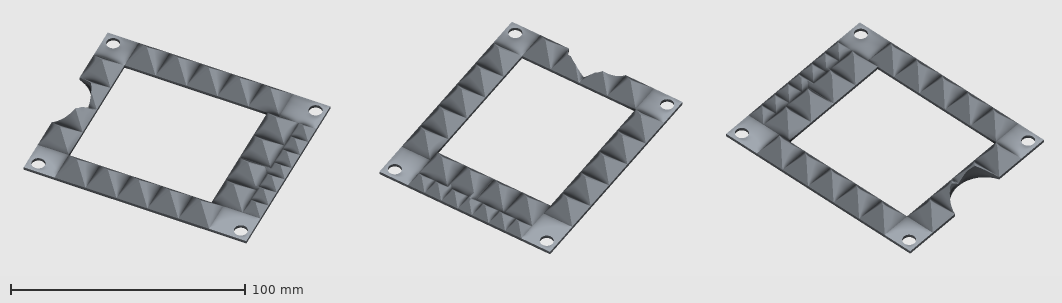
import cadquery as cq
import math

frame_width = 86.67
window_length = 67.0
plate_thickness = 1.5
large_base = 14.5
small_base = 8.41
corner_hole_diameter = 6.0
corner_hole_inset = 4.75
finger_notch_radius = 15.0

large_row_count = 5
large_column_count = 4
small_column_count = 7

frame_length = window_length + 2 * large_base + small_base
column_length = frame_width - 2 * large_base
total_height = plate_thickness + large_base / 2
left_edge = -frame_length / 2
right_edge = frame_length / 2
small_column_left = right_edge - small_base
right_column_left = small_column_left - large_base
window_left = left_edge + large_base
row_centre_y = (frame_width - large_base) / 2


def column_cells(base, count):
    """Top and bottom Y of every pyramid of a column, from the +Y end to the -Y end.

    Bases are laid out from both ends of the column, half the count from each. They are
    slightly too long for it, so where they meet in the middle the overlap is left out: an
    odd column has a shortened middle pyramid, and an even one has a narrow flat strip
    between two shortened pyramids.
    """
    overlap = count * base - column_length
    half_count = count // 2
    upper_cells = []
    for i in range(half_count):
        top = column_length / 2 - i * base
        upper_cells.append((top, top - base))
    if count % 2 == 1:
        middle_half = (base - overlap) / 2
        middle_cells = [(middle_half, -middle_half)]
    else:
        upper_cells[-1] = (upper_cells[-1][0], overlap / 2)
        middle_cells = []
    lower_cells = [(-bottom, -top) for top, bottom in reversed(upper_cells)]
    return upper_cells + middle_cells + lower_cells


large_cells = column_cells(large_base, large_column_count)
small_cells = column_cells(small_base, small_column_count)

notch_half_chord = large_cells[1][0]
notch_centre_x = left_edge - math.sqrt(finger_notch_radius**2 - notch_half_chord**2)


def make_triangular_prism(base, length):
    """Ridge along Y with 45 degree sides, centred in X and Y and standing on the plate top."""
    return (
        cq.Workplane("XZ", origin=(0, length / 2, plate_thickness))
        .polyline([(-base / 2, 0), (base / 2, 0), (0, base / 2)])
        .close()
        .extrude(length)
    )


def make_pyramid(left, size_x, top, bottom):
    """Pyramid with 45 degree faces on the plate top, hipped if its two sides differ."""
    size_y = top - bottom
    ridge_along_y = make_triangular_prism(size_x, size_y)
    ridge_along_x = make_triangular_prism(size_y, size_x).rotate((0, 0, 0), (0, 0, 1), 90)
    pyramid = ridge_along_y.intersect(ridge_along_x)
    return pyramid.translate((left + size_x / 2, (top + bottom) / 2, 0))


def pyramid_row(centre_y):
    """Row of large pyramids along X, starting beside the left corner."""
    top = centre_y + large_base / 2
    bottom = centre_y - large_base / 2
    lefts = [window_left + i * large_base for i in range(large_row_count)]
    return [make_pyramid(left, large_base, top, bottom) for left in lefts]


def pyramid_column(left, base, cells):
    """Column of pyramids along Y between the two rows."""
    return [make_pyramid(left, base, top, bottom) for top, bottom in cells]


def make_plate():
    """Flat rectangular plate with the window and the four corner holes."""
    plate = cq.Workplane().rect(frame_length, frame_width).extrude(plate_thickness)
    window_centre_x = window_left + window_length / 2
    window = (
        cq.Workplane()
        .center(window_centre_x, 0)
        .rect(window_length, column_length)
        .extrude(plate_thickness)
    )
    hole_spacing_x = frame_length - 2 * corner_hole_inset
    hole_spacing_y = frame_width - 2 * corner_hole_inset
    corner_holes = (
        cq.Workplane()
        .rect(hole_spacing_x, hole_spacing_y, forConstruction=True)
        .vertices()
        .circle(corner_hole_diameter / 2)
        .extrude(plate_thickness)
    )
    return plate.cut(window).cut(corner_holes)


def make_frame():
    """Plate and pyramids in one piece, with the round notch cut through the left column."""
    pyramids = (
        pyramid_row(row_centre_y)
        + pyramid_row(-row_centre_y)
        + pyramid_column(left_edge, large_base, large_cells)
        + pyramid_column(right_column_left, large_base, large_cells)
        + pyramid_column(small_column_left, small_base, small_cells)
    )
    frame = make_plate()
    for pyramid in pyramids:
        frame = frame.union(pyramid)
    notch = cq.Workplane().center(notch_centre_x, 0).circle(finger_notch_radius).extrude(total_height)
    return frame.cut(notch).solids()


def make_valley_wedge(upper_y, lower_y):
    """Tetrahedron bridging the valley between the right large column and the small column.

    Its lower edge lies in the valley and its upper edge is a ridge along X. Its two lower
    faces rest on the pyramids on either side.
    """
    half = (upper_y - lower_y) / 2
    ridge_y = (upper_y + lower_y) / 2
    valley_top = cq.Vector(small_column_left, upper_y, plate_thickness)
    valley_bottom = cq.Vector(small_column_left, lower_y, plate_thickness)
    ridge_left = cq.Vector(small_column_left - half, ridge_y, plate_thickness + half)
    ridge_right = cq.Vector(small_column_left + half, ridge_y, plate_thickness + half)
    triangles = [
        (valley_top, ridge_left, valley_bottom),
        (valley_top, valley_bottom, ridge_right),
        (valley_top, ridge_right, ridge_left),
        (valley_bottom, ridge_left, ridge_right),
    ]
    faces = [cq.Face.makeFromWires(cq.Wire.makePolygon(corners, close=True)) for corners in triangles]
    return cq.Workplane(cq.Solid.makeSolid(cq.Shell.makeShell(faces)))


frame = make_frame()

third_large_top, third_large_bottom = large_cells[2]
fourth_small_bottom = small_cells[3][1]
sixth_small_top = small_cells[5][0]
wedge_spans = [(third_large_top, fourth_small_bottom), (sixth_small_top, third_large_bottom)]
valley_wedges = [make_valley_wedge(upper_y, lower_y) for upper_y, lower_y in wedge_spans]

result = cq.Compound.makeCompound([frame.val(), *[wedge.val() for wedge in valley_wedges]])